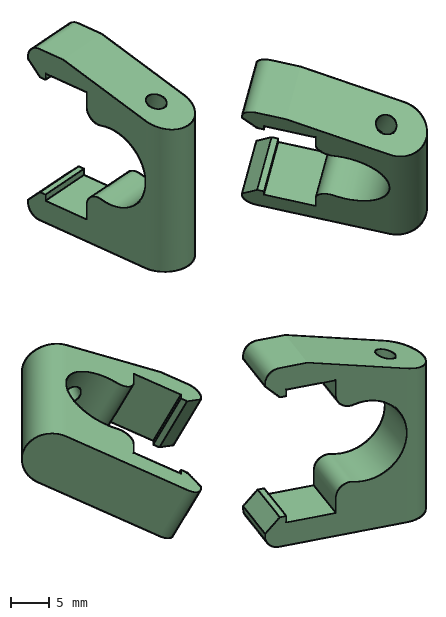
import cadquery as cq
import math

length = 24.0
height = 27.0
width = 8.0
mid_height = height / 2
back_radius = width / 2

corner_radius = 2.0
arm_thickness = 3.48
hook_depth = 4.45
hook_length = 3.0
hook_tip_start = 2.08
nose_depth = 2.38

seat_radius = 6.0
shoulder_radius = 2.0
shoulder_face_x = 10.0
seat_x = length - back_radius - seat_radius

slope_start_x = 6.0
slope_angle = math.radians(15)
hole_diameter = 2.8
hole_x = 18.58

shoulder_x = shoulder_face_x + shoulder_radius
center_distance = seat_radius + shoulder_radius
shoulder_rise = math.sqrt(center_distance**2 - (seat_x - shoulder_x) ** 2)
tangent_share = seat_radius / center_distance
tangent_x = seat_x + (shoulder_x - seat_x) * tangent_share
tangent_rise = shoulder_rise * tangent_share
shoulder_end_angle = math.atan2(-shoulder_rise, seat_x - shoulder_x)
shoulder_mid_angle = (shoulder_end_angle - math.pi) / 2
shoulder_mid_x = shoulder_x + shoulder_radius * math.cos(shoulder_mid_angle)
shoulder_mid_rise = shoulder_rise + shoulder_radius * math.sin(shoulder_mid_angle)

corner_mid = corner_radius * (1 - math.sqrt(0.5))


def top_z(x):
    """Height of the sloping top face at x."""
    return height - (x - slope_start_x) * math.tan(slope_angle)


def make_body():
    """Side profile extruded across the width, centered on Y = 0."""
    return (
        cq.Workplane("XZ")
        .moveTo(corner_radius, 0)
        .lineTo(length, 0)
        .lineTo(length, top_z(length))
        .lineTo(slope_start_x, height)
        .lineTo(corner_radius, height)
        .threePointArc((corner_mid, height - corner_mid), (0, height - corner_radius))
        .lineTo(0, height - nose_depth)
        .lineTo(hook_tip_start, height - hook_depth)
        .lineTo(hook_length, height - hook_depth)
        .lineTo(hook_length, height - arm_thickness)
        .lineTo(shoulder_face_x, height - arm_thickness)
        .lineTo(shoulder_face_x, mid_height + shoulder_rise)
        .threePointArc(
            (shoulder_mid_x, mid_height + shoulder_mid_rise),
            (tangent_x, mid_height + tangent_rise),
        )
        .threePointArc(
            (seat_x + seat_radius, mid_height),
            (tangent_x, mid_height - tangent_rise),
        )
        .threePointArc(
            (shoulder_mid_x, mid_height - shoulder_mid_rise),
            (shoulder_face_x, mid_height - shoulder_rise),
        )
        .lineTo(shoulder_face_x, arm_thickness)
        .lineTo(hook_length, arm_thickness)
        .lineTo(hook_length, hook_depth)
        .lineTo(hook_tip_start, hook_depth)
        .lineTo(0, nose_depth)
        .lineTo(0, corner_radius)
        .threePointArc((corner_mid, corner_mid), (corner_radius, 0))
        .close()
        .extrude(width / 2, both=True)
    )


def make_plan_envelope():
    """Plan outline with a full half-round back."""
    straight_length = length - back_radius
    return (
        cq.Workplane("XY")
        .moveTo(0, -back_radius)
        .lineTo(straight_length, -back_radius)
        .threePointArc((length, 0), (straight_length, back_radius))
        .lineTo(0, back_radius)
        .close()
        .extrude(height)
    )


def make_screw_hole():
    """Hole square to the sloping face, ending inside the open seat."""
    outward = cq.Vector(math.sin(slope_angle), 0, math.cos(slope_angle))
    entry = cq.Vector(hole_x, 0, top_z(hole_x))
    hole_end_z = mid_height
    depth = (entry.z - hole_end_z) / outward.z
    start = entry + outward * hole_diameter
    return cq.Solid.makeCylinder(hole_diameter / 2, depth + hole_diameter, start, outward * -1)


result = make_body().intersect(make_plan_envelope()).cut(make_screw_hole())